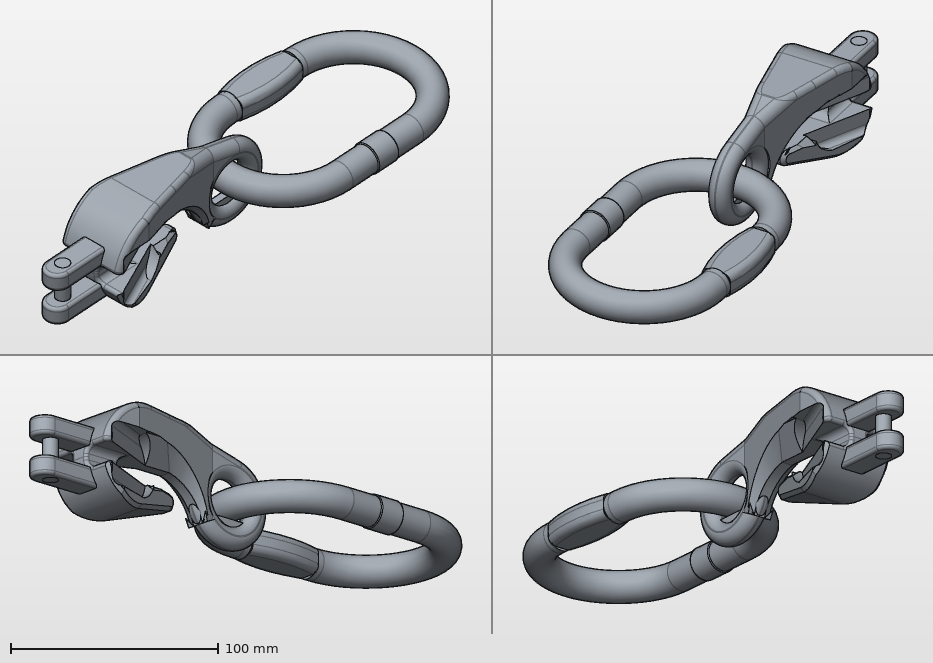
import cadquery as cq
import math


WIRE_DIA = 16.0
LINK_BEND_RADIUS = 38.1
LINK_STRAIGHT = 50.0
LINK_END_Y = -5.0
LINK_X = 0.3
LINK_Y = LINK_END_Y + WIRE_DIA / 2 + LINK_BEND_RADIUS + LINK_STRAIGHT / 2
BAND_DIA = 17.0
BAND_LENGTH = 14.5
BAND_CHAMFER = 0.5
WELD_LENGTH = 43.0
WELD_WIDTH = 21.8
WELD_END_WIDTH = 16.0
WELD_THICKNESS = 13.5
WELD_FILLET = 4.2
WELD_CLEARANCE = 2.5

EYE_RADIUS = 23.7
EYE_HOLE_RADIUS = 12.0
EYE_HALF_WIDTH = 5.8
EYE_FILLET = 5.5
EYE_CENTRE_RADIUS = (EYE_RADIUS + EYE_HOLE_RADIUS) / 2
SEAT_DEPTH = 8.5
SEAT_HALF_WIDTH = 2.0

SLOPE = math.radians(14.0)
TOP_Z = 31.3
BACK_Y = -96.3
BACK_RADIUS = TOP_Z
HEEL_RADIUS = 22.5
SLOT_HALF = 5.3
SLOT_END_Y = -76.5
LIP_END_Y = -36.3
LIP_TIP_RADIUS = 4.5
THROAT_START = (-40.0, SLOT_HALF)
THROAT_MIDDLE = (-29.5, 0.5)
THROAT_END = (-18.5, -15.3)
NECK_Y = -14.2
SHOULDER_Y = -74.5
HOOK_HALF_WIDTH = 19.5
LIP_TIP_HALF_WIDTH = 3.0
LIP_WEDGE_END_Y = -35.0
LIP_FULL_WIDTH_Y = -84.2
EDGE_FILLET = 3.2
LIP_CHAMFER = 1.8
TOLERANCE = 0.03
HEEL_CENTRE = (BACK_Y + HEEL_RADIUS, 0)
LIP_TOP_ANGLE = math.asin(SLOT_HALF / HEEL_RADIUS)

KEEL_HALF_WIDTH = 3.2
HOLLOW_HALF_WIDTH = 15.5
HOLLOW_Z = 16.5
HOLLOW_FLAT_Y = -52.5
HOLLOW_MIDDLE = (-32.5, 13.7)
HOLLOW_END = (-17.4, -2.5)

LIP_FLAT_START_Y = -38.1
LIP_FLAT_END_Y = -56.3
LIP_FLAT_EDGE_X = 5.0
LIP_FLAT_DROP = 11.3

NECK_HALF_WIDTH = 9.0
NECK_COVE = 3.7

WEB_FRONT_HALF_WIDTH = 3.2
WEB_BACK_HALF_WIDTH = 19.0
POCKET_BACK_Y = -92.0
POCKET_BEND_Y = -66.3
POCKET_FRONT_Y = -55.8
POCKET_FLOOR = 16.3
POCKET_FILLET = 3.2
POCKET_OUTER_X = HOOK_HALF_WIDTH + 2.5
BACK_EDGE_RADIUS = 1.8

ARM_HALF_WIDTH = 7.4
ARM_OUTER_Z = 15.3
ARM_END_Y = -125.7
ARM_ROOT_Y = -81.5
ARM_FILLET = 1.8
PIN_DIA = 8.0
PIN_Y = -114.7


def on_circle(centre, radius, angle):
    return (centre[0] + radius * math.cos(angle), centre[1] + radius * math.sin(angle))


LIP_TOP_BACK = on_circle(HEEL_CENTRE, HEEL_RADIUS, math.pi + LIP_TOP_ANGLE)


def mirrored_in_x(shape):
    return shape.union(shape.mirror("YZ"))


def master_link():
    half = LINK_STRAIGHT / 2
    path = (
        cq.Workplane("XY")
        .moveTo(LINK_BEND_RADIUS, -half)
        .lineTo(LINK_BEND_RADIUS, half)
        .threePointArc((0, half + LINK_BEND_RADIUS), (-LINK_BEND_RADIUS, half))
        .lineTo(-LINK_BEND_RADIUS, -half)
        .threePointArc((0, -half - LINK_BEND_RADIUS), (LINK_BEND_RADIUS, -half))
        .close()
    )
    wire = cq.Workplane("XZ", origin=(LINK_BEND_RADIUS, -half, 0)).circle(WIRE_DIA / 2).sweep(path)
    band = (
        cq.Workplane("XZ", origin=(LINK_BEND_RADIUS, BAND_LENGTH / 2, 0))
        .circle(BAND_DIA / 2)
        .extrude(BAND_LENGTH)
        .edges()
        .chamfer(BAND_CHAMFER)
    )
    end_y = WELD_LENGTH / 2
    end_x = WELD_END_WIDTH / 2
    weld = (
        cq.Workplane("XY")
        .moveTo(-end_x, -end_y)
        .lineTo(end_x, -end_y)
        .threePointArc((WELD_WIDTH / 2, 0), (end_x, end_y))
        .lineTo(-end_x, end_y)
        .threePointArc((-WELD_WIDTH / 2, 0), (-end_x, -end_y))
        .close()
        .extrude(WELD_THICKNESS / 2, both=True)
        .faces("|Z")
        .edges("not |X")
        .fillet(WELD_FILLET)
        .translate((-LINK_BEND_RADIUS, 0, 0))
    )
    gap_width = WIRE_DIA + WELD_CLEARANCE
    gap = cq.Workplane("XY").box(gap_width, WELD_LENGTH, gap_width).translate((-LINK_BEND_RADIUS, 0, 0))
    return wire.cut(gap).union(weld).union(band).translate((LINK_X, LINK_Y, 0))


def eye_tangent():
    """Point (y, z) where the slope of the arm leaves the eye."""
    return on_circle((0, 0), EYE_RADIUS, math.pi / 2 - SLOPE)


def ridge_y():
    """Where the slope of the arm meets its flat top."""
    tangent_y, tangent_z = eye_tangent()
    return tangent_y - (TOP_Z - tangent_z) / math.tan(SLOPE)


def arm_profile():
    """Side outline of the hook above the lower face of the mouth, extruded to the full width."""
    eye_inner_tangent = on_circle((0, 0), EYE_CENTRE_RADIUS, math.pi / 2 - SLOPE)
    back_centre = (BACK_Y + BACK_RADIUS, 0)
    return (
        cq.Workplane("YZ")
        .moveTo(*eye_inner_tangent)
        .lineTo(*eye_tangent())
        .lineTo(ridge_y(), TOP_Z)
        .lineTo(back_centre[0], TOP_Z)
        .threePointArc(on_circle(back_centre, BACK_RADIUS, math.radians(135)), (BACK_Y, 0))
        .threePointArc(on_circle(HEEL_CENTRE, HEEL_RADIUS, math.pi + LIP_TOP_ANGLE / 2), LIP_TOP_BACK)
        .lineTo(SLOT_END_Y + SLOT_HALF, -SLOT_HALF)
        .threePointArc((SLOT_END_Y, 0), (SLOT_END_Y + SLOT_HALF, SLOT_HALF))
        .lineTo(*THROAT_START)
        .threePointArc(THROAT_MIDDLE, THROAT_END)
        .lineTo(*on_circle((0, 0), EYE_CENTRE_RADIUS, math.radians(225)))
        .threePointArc((-EYE_CENTRE_RADIUS, 0), eye_inner_tangent)
        .close()
        .extrude(HOOK_HALF_WIDTH, both=True)
    )


def lip_profile():
    """Side outline of the hook below the lower face of the mouth, extruded to the full width."""
    tip_centre = (LIP_END_Y - LIP_TIP_RADIUS, -SLOT_HALF - LIP_TIP_RADIUS)
    down = SLOPE - math.pi / 2
    return (
        cq.Workplane("YZ")
        .moveTo(*LIP_TOP_BACK)
        .lineTo(tip_centre[0], -SLOT_HALF)
        .threePointArc((LIP_END_Y, tip_centre[1]), on_circle(tip_centre, LIP_TIP_RADIUS, down))
        .lineTo(*on_circle(HEEL_CENTRE, HEEL_RADIUS, down))
        .threePointArc(on_circle(HEEL_CENTRE, HEEL_RADIUS, math.radians(225)), LIP_TOP_BACK)
        .close()
        .extrude(HOOK_HALF_WIDTH, both=True)
    )


def symmetric_plan(half):
    """Prism over a plan outline given by its +X half, tall enough for the whole hook."""
    other_half = [(-x, y) for x, y in reversed(half)]
    return cq.Workplane("XY").polyline(half + other_half).close().extrude(2 * TOP_Z, both=True)


def is_slope_edge(edge):
    """True for the side edges of the slope between eye and ridge."""
    centre = edge.Center()
    rise = (ridge_y() - centre.y) * math.tan(-SLOPE)
    on_side = abs(centre.x) > EYE_HALF_WIDTH - TOLERANCE
    return on_side and centre.y > ridge_y() and abs(TOP_Z - rise - centre.z) < TOLERANCE


def is_arm_edge(edge):
    """True for the side edges along the flat top and the back of the arm."""
    centre = edge.Center()
    on_top = centre.y < ridge_y() and centre.z > TOP_Z - EDGE_FILLET
    on_back = centre.y < SHOULDER_Y - TOLERANCE and centre.z > SLOT_HALF
    return abs(centre.x) > EYE_HALF_WIDTH and (on_top or on_back)


def is_lip_edge(edge):
    """True for the side edges along the underside of the lip and the heel."""
    centre = edge.Center()
    at_side = abs(centre.x) > LIP_TIP_HALF_WIDTH + TOLERANCE
    on_underside = centre.z < -SLOT_HALF - LIP_TIP_RADIUS
    return at_side and on_underside and abs(centre.y - LIP_FULL_WIDTH_Y) > TOLERANCE


def arm():
    plan = symmetric_plan([
        (EYE_HALF_WIDTH, EYE_RADIUS),
        (EYE_HALF_WIDTH, NECK_Y),
        (HOOK_HALF_WIDTH, SHOULDER_Y),
        (HOOK_HALF_WIDTH, BACK_Y),
    ])
    blank = arm_profile().intersect(plan)
    blank = blank.newObject([e for e in blank.edges().vals() if is_slope_edge(e)]).fillet(EYE_FILLET)
    return blank.newObject([e for e in blank.edges().vals() if is_arm_edge(e)]).fillet(EDGE_FILLET)


def lip():
    plan = symmetric_plan([
        (LIP_TIP_HALF_WIDTH, LIP_WEDGE_END_Y),
        (HOOK_HALF_WIDTH, LIP_FULL_WIDTH_Y),
        (HOOK_HALF_WIDTH, BACK_Y),
    ])
    blank = lip_profile().intersect(plan)
    return blank.newObject([e for e in blank.edges().vals() if is_lip_edge(e)]).chamfer(LIP_CHAMFER)


def eye():
    return (
        cq.Workplane("YZ")
        .circle(EYE_RADIUS)
        .circle(EYE_HOLE_RADIUS)
        .extrude(EYE_HALF_WIDTH, both=True)
        .edges("%CIRCLE")
        .fillet(EYE_FILLET)
    )


def eye_seat():
    """Flat seat across the bottom of the eye hole."""
    half_chord = math.sqrt(EYE_CENTRE_RADIUS**2 - SEAT_DEPTH**2)
    return (
        cq.Workplane("YZ")
        .moveTo(-half_chord, -SEAT_DEPTH)
        .lineTo(half_chord, -SEAT_DEPTH)
        .threePointArc((0, -EYE_CENTRE_RADIUS), (-half_chord, -SEAT_DEPTH))
        .close()
        .extrude(SEAT_HALF_WIDTH, both=True)
    )


def hollow_section(plane):
    return (
        plane.moveTo(POCKET_BEND_Y, 0)
        .lineTo(POCKET_BEND_Y, HOLLOW_Z)
        .lineTo(HOLLOW_FLAT_Y, HOLLOW_Z)
        .threePointArc(HOLLOW_MIDDLE, HOLLOW_END)
        .close()
    )


def hollow():
    """Space under the arm on the +X side, spreading from the keel to the side of the hook."""
    keel = (
        cq.Workplane("YZ", origin=(KEEL_HALF_WIDTH, 0, 0))
        .moveTo(POCKET_FRONT_Y, 0)
        .lineTo(POCKET_FRONT_Y, SLOT_HALF)
        .lineTo(*THROAT_START)
        .threePointArc(THROAT_MIDDLE, THROAT_END)
        .close()
    )
    spread = hollow_section(keel.workplane(offset=HOLLOW_HALF_WIDTH - KEEL_HALF_WIDTH))
    return hollow_section(spread.workplane(offset=HOOK_HALF_WIDTH - HOLLOW_HALF_WIDTH)).loft(ruled=True)


def pocket():
    """Upper chain pocket on the +X side, beside the spreading web."""
    bend = POCKET_FRONT_Y - POCKET_BEND_Y
    bend_middle = (POCKET_BEND_Y + bend * math.sqrt(0.5), POCKET_FLOOR * math.sqrt(0.5))
    side = (
        cq.Workplane("YZ")
        .moveTo(POCKET_BACK_Y, 0)
        .lineTo(POCKET_BACK_Y, POCKET_FLOOR)
        .lineTo(POCKET_BEND_Y, POCKET_FLOOR)
        .threePointArc(bend_middle, (POCKET_FRONT_Y, 0))
        .close()
        .extrude(POCKET_OUTER_X)
    )
    plan = (
        cq.Workplane("XY")
        .moveTo(WEB_FRONT_HALF_WIDTH, POCKET_FRONT_Y)
        .lineTo(WEB_BACK_HALF_WIDTH, POCKET_BACK_Y)
        .lineTo(POCKET_OUTER_X, POCKET_BACK_Y)
        .lineTo(POCKET_OUTER_X, POCKET_FRONT_Y)
        .close()
        .extrude(POCKET_FLOOR)
    )
    return side.intersect(plan).faces("<(1, 0.4, 0)").edges(">Z").fillet(POCKET_FILLET)


def neck_relief():
    """Space beside the neck on the +X side, as high as the mouth, with rounded inner corners."""
    return (
        cq.Workplane("XZ", origin=(0, POCKET_BEND_Y, 0))
        .rect(2 * HOOK_HALF_WIDTH, 2 * SLOT_HALF)
        .extrude(POCKET_BEND_Y - BACK_Y)
        .edges("<X and |Y")
        .fillet(NECK_COVE)
        .translate((NECK_HALF_WIDTH - NECK_COVE + HOOK_HALF_WIDTH, 0, 0))
    )


def lip_flat():
    """Wedge removed from the top of the lip on the +X side."""
    return (
        cq.Workplane("XZ", origin=(0, LIP_FLAT_END_Y, 0))
        .moveTo(LIP_FLAT_EDGE_X, -SLOT_HALF)
        .lineTo(HOOK_HALF_WIDTH, -SLOT_HALF)
        .lineTo(HOOK_HALF_WIDTH, -SLOT_HALF - LIP_FLAT_DROP)
        .close()
        .extrude(LIP_FLAT_END_Y - LIP_FLAT_START_Y)
    )


def clevis_arm():
    """Upper clevis arm with a rounded end and rounded long edges."""
    round_y = ARM_END_Y + ARM_HALF_WIDTH
    return (
        cq.Workplane("XY", origin=(0, 0, SLOT_HALF))
        .moveTo(ARM_HALF_WIDTH, ARM_ROOT_Y)
        .lineTo(ARM_HALF_WIDTH, round_y)
        .threePointArc((0, ARM_END_Y), (-ARM_HALF_WIDTH, round_y))
        .lineTo(-ARM_HALF_WIDTH, ARM_ROOT_Y)
        .close()
        .extrude(ARM_OUTER_Z - SLOT_HALF)
        .faces("|Z")
        .edges("not |X")
        .fillet(ARM_FILLET)
    )


def clevis_pin():
    return (
        cq.Workplane("XY", origin=(0, PIN_Y, -ARM_OUTER_Z)).circle(PIN_DIA / 2).extrude(2 * ARM_OUTER_Z)
    )


def is_back_edge(edge):
    """True for the straight edges across the back of the hook above and below the neck."""
    start = edge.startPoint()
    end = edge.endPoint()
    at_mouth_face = abs(abs(edge.Center().z) - SLOT_HALF) < TOLERANCE
    across_back = max(start.y, end.y) < POCKET_BACK_Y - BACK_EDGE_RADIUS
    return edge.geomType() == "LINE" and at_mouth_face and across_back


def hook_body():
    """Arm and lip with the pockets and the neck cut in from both sides."""
    upper_pocket = pocket()
    waste = hollow().union(upper_pocket).union(upper_pocket.mirror("XY")).union(neck_relief()).union(lip_flat())
    body = arm().union(lip()).cut(mirrored_in_x(waste))
    return body.newObject([e for e in body.edges().vals() if is_back_edge(e)]).fillet(BACK_EDGE_RADIUS)


def hook():
    upper_arm = clevis_arm()
    return (
        hook_body()
        .union(eye())
        .union(eye_seat())
        .union(upper_arm)
        .union(upper_arm.mirror("XY"))
        .cut(clevis_pin())
    )


link = master_link()
hook_solid = hook()
pin = clevis_pin()
result = cq.Compound.makeCompound([link.val(), hook_solid.val(), pin.val()])